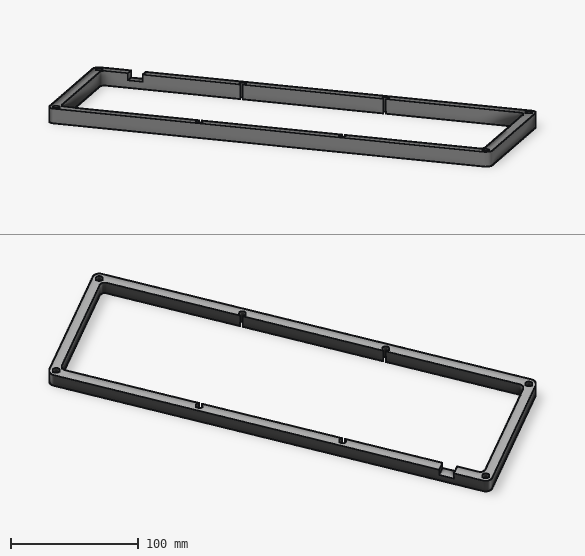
import cadquery as cq

length = 366.0
width = 116.0
height = 12.0
wall = 8.0
outer_radius = 5.5
inner_radius = 4.0

hole_diameter = 5.5
hole_inset = 5.5
holes_per_side = 4
hole_spacing_x = (length - 2 * hole_inset) / (holes_per_side - 1)
hole_spacing_y = width - 2 * hole_inset

notch_start = 30.0
notch_width = 12.0
notch_depth = 6.0


def rounded_block(size_x, size_y, corner_radius):
    """Full-height block standing on Z = 0 with rounded vertical corners."""
    block = cq.Workplane("XY").box(size_x, size_y, height, centered=(True, True, False))
    return block.edges("|Z").fillet(corner_radius)


def screw_holes():
    """Through-hole cutters; the middle ones break through the inner wall face."""
    return (
        cq.Workplane("XY")
        .rarray(hole_spacing_x, hole_spacing_y, holes_per_side, 2)
        .circle(hole_diameter / 2)
        .extrude(height)
    )


def rear_notch():
    """Rectangular cutter spanning the thickness of the rear wall."""
    notch = cq.Workplane("XY").box(notch_width, wall, notch_depth, centered=False)
    return notch.translate((notch_start - length / 2, width / 2 - wall, height - notch_depth))


opening = rounded_block(length - 2 * wall, width - 2 * wall, inner_radius)
frame = rounded_block(length, width, outer_radius).cut(opening)
result = frame.cut(screw_holes()).cut(rear_notch())